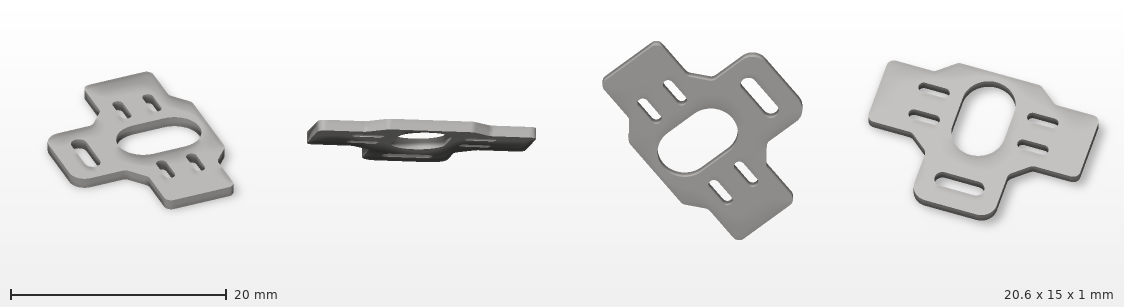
import cadquery as cq

thickness = 1.0
wing_span = 20.58
wing_height = 6.87
shoulder_height = 10.0
neck_width = 8.0
total_height = 14.98
slope_foot_x = 5.87
small_radius = 0.7
neck_radius = 1.5

window_length = 8.13
window_width = 5.02
wing_slot_length = 3.0
wing_slot_width = 1.0
wing_slot_x = 5.29
wing_slot_y = 1.5
neck_slot_length = 4.8
neck_slot_width = 1.5
neck_slot_y = -7.33

half_span = wing_span / 2
half_wing = wing_height / 2
half_neck = neck_width / 2
shoulder_y = shoulder_height / 2
neck_end_y = shoulder_y - total_height


def make_plate():
    """Mirrored outline with wings, sloped shoulders and a neck, all corners rounded."""
    right_side = [
        (half_neck, neck_end_y),
        (half_neck, -shoulder_y),
        (slope_foot_x, -half_wing),
        (half_span, -half_wing),
        (half_span, half_wing),
        (slope_foot_x, half_wing),
        (half_neck, shoulder_y),
    ]
    left_side = [(-x, y) for x, y in reversed(right_side)]
    plate = cq.Workplane("XY").polyline(right_side + left_side).close().extrude(thickness)
    plate = plate.edges("|Z").edges("not <Y").fillet(small_radius)
    return plate.edges("|Z").edges("<Y").fillet(neck_radius)


def cut_slots(plate, centers, length, width, angle=0):
    """Cut round-ended slots through the plate."""
    return (
        plate.faces(">Z").workplane(origin=(0, 0, thickness))
        .pushPoints(centers)
        .slot2D(length, width, angle)
        .cutThruAll()
    )


wing_slot_centers = [
    (x, y)
    for x in (-wing_slot_x, wing_slot_x)
    for y in (-wing_slot_y, wing_slot_y)
]

result = make_plate()
result = cut_slots(result, [(0, 0)], window_length, window_width, angle=90)
result = cut_slots(result, wing_slot_centers, wing_slot_length, wing_slot_width)
result = cut_slots(result, [(0, neck_slot_y)], neck_slot_length, neck_slot_width)